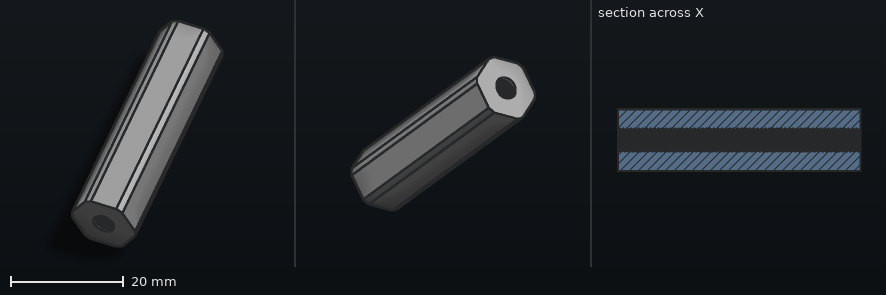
import cadquery as cq
import math

length = 43.0
across_flats = 11.0
rounded_diameter = 12.0

thread_major = 4.0
thread_pitch = 0.7
sharp_height = thread_pitch * math.sqrt(3) / 2
thread_depth = sharp_height * 5 / 8
thread_minor = thread_major - 2 * thread_depth
groove_mouth = thread_pitch * 3 / 4
groove_root = thread_pitch / 8
groove_end_gap = 0.2
groove_start_angle = 250

mouth_overlap = 0.04

countersink_depth = thread_depth


def make_bar():
    """Hexagonal prism with flats facing +Z and -Z, its six corners turned to a cylinder."""
    across_corners = across_flats / math.cos(math.pi / 6)
    end_plane = cq.Workplane("XZ", origin=(0, length / 2, 0))
    hexagon = end_plane.polygon(6, across_corners).extrude(length)
    cylinder = end_plane.circle(rounded_diameter / 2).extrude(length)
    return hexagon.intersect(cylinder)


def make_bore():
    """Through hole at the minor diameter, countersunk at both ends."""
    half_length = length / 2
    outline = [
        (0, -half_length),
        (thread_major / 2, -half_length),
        (thread_minor / 2, -half_length + countersink_depth),
        (thread_minor / 2, half_length - countersink_depth),
        (thread_major / 2, half_length),
        (0, half_length),
    ]
    return cq.Workplane("XY").polyline(outline).close().revolve(360, (0, 0, 0), (0, 1, 0))


def make_thread_groove():
    """Helical V groove that runs out into both countersinks, built along Z and laid along Y."""
    flank_slope = (groove_mouth - groove_root) / 2 / thread_depth
    mouth_radius = thread_minor / 2 - mouth_overlap
    half_mouth = groove_mouth / 2 + flank_slope * mouth_overlap
    half_root = groove_root / 2
    helix_height = length - 2 * groove_end_gap
    helix = cq.Wire.makeHelix(thread_pitch, helix_height, thread_minor / 2)
    profile = [
        (mouth_radius, -half_mouth),
        (thread_major / 2, -half_root),
        (thread_major / 2, half_root),
        (mouth_radius, half_mouth),
    ]
    groove = cq.Workplane("XZ").polyline(profile).close().sweep(cq.Workplane(helix), isFrenet=True)
    groove = groove.translate((0, 0, -helix_height / 2)).rotate((0, 0, 0), (1, 0, 0), -90)
    return groove.rotate((0, 0, 0), (0, 1, 0), groove_start_angle)


result = make_bar().cut(make_bore()).cut(make_thread_groove())